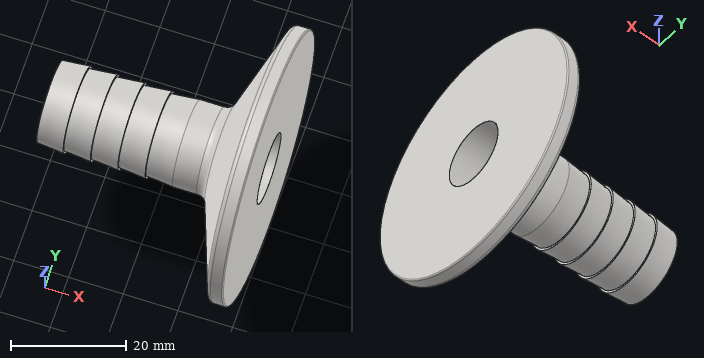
import cadquery as cq
import math

length = 40.0
flange_radius = 25.25
bore_radius = 6.5

barb_count = 5
barb_pitch = 5.0
barb_tip_radius = 7.5
barb_crest_radius = 8.0

rim_thickness = 2.9
cone_angle = 20.0
root_fillet = 2.0
rim_back_fillet = 0.8
rim_face_fillet = 0.25

rim_back_x = length - rim_thickness
cone_length = (flange_radius - barb_crest_radius) * math.tan(math.radians(cone_angle))
cone_root_x = rim_back_x - cone_length


def revolve_about_x(profile):
    return profile.close().revolve(360, (0, 0, 0), (1, 0, 0))


def make_barb(index):
    start = index * barb_pitch
    end = start + barb_pitch
    profile = (
        cq.Workplane("XY")
        .moveTo(start, 0)
        .lineTo(start, barb_tip_radius)
        .lineTo(end, barb_crest_radius)
        .lineTo(end, 0)
    )
    return revolve_about_x(profile)


def edge_at(x, radius):
    """Selector for the circular edges around the given profile corner."""
    reach = 0.05
    return cq.selectors.BoxSelector(
        (x - reach, -radius - reach, -radius - reach),
        (x + reach, radius + reach, radius + reach),
        boundingbox=True,
    )


def make_flange():
    profile = (
        cq.Workplane("XY")
        .moveTo(barb_count * barb_pitch, 0)
        .lineTo(barb_count * barb_pitch, barb_crest_radius)
        .lineTo(cone_root_x, barb_crest_radius)
        .lineTo(rim_back_x, flange_radius)
        .lineTo(length, flange_radius)
        .lineTo(length, 0)
    )
    return (
        revolve_about_x(profile)
        .edges(edge_at(cone_root_x, barb_crest_radius))
        .fillet(root_fillet)
        .edges(edge_at(rim_back_x, flange_radius))
        .fillet(rim_back_fillet)
        .edges(edge_at(length, flange_radius))
        .fillet(rim_face_fillet)
    )


body = make_flange()
for barb_index in range(barb_count):
    body = body.union(make_barb(barb_index))

bore = cq.Workplane("YZ").circle(bore_radius).extrude(length)
result = body.cut(bore)